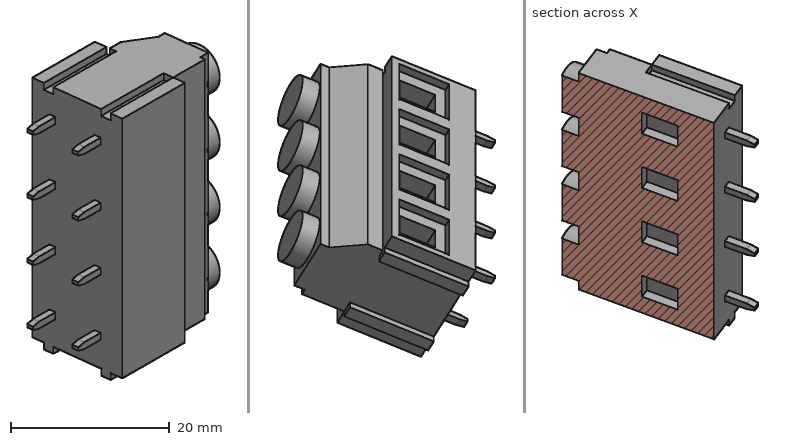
import cadquery as cq


pole_count = 4
pole_pitch = 9.55
interlock_height = 1.0
total_height = 39.08
body_height = total_height - interlock_height
base_width = 15.2
base_depth = 11.85

interlock_inner_x = 4.03
interlock_outer_x = 5.63

tower_left_x = -5.1
tower_right_x = interlock_outer_x
tower_top_y = 19.3
crown_left_x = -2.45
crown_right_x = 4.85
slope_start_y = 13.95
slope_end_y = 18.1
step_y = 17.82

screw_x = 1.25
screw_diameter = 6.9
screw_height = 2.4

recess_start_y = 3.75
recess_end_y = 10.8
recess_height = 7.43
recess_depth = 1.0
entry_start_y = 5.2
entry_end_y = 10.25
entry_height = 3.6

pin_row_x = (-4.2, 3.45)
pin_size = 1.0
pin_length = 4.22
pin_taper_length = 1.15
pin_tip_thickness = 0.5

base_left_x = -base_width / 2
first_pole_z = (body_height - (pole_count - 1) * pole_pitch) / 2
pole_heights = [first_pole_z + i * pole_pitch for i in range(pole_count)]


def box_between(x_range, y_range, z_range):
    """Box spanning the given (start, end) pair along each axis."""
    starts, ends = zip(x_range, y_range, z_range)
    lengths = [end - start for start, end in zip(starts, ends)]
    return cq.Workplane("XY").box(*lengths, centered=False).translate(starts)


def make_body():
    """Rectangular base with the sloped and stepped tower behind it."""
    base = box_between((base_left_x, base_width / 2), (0, base_depth), (0, body_height))
    tower_outline = [
        (tower_left_x, 0),
        (tower_right_x, 0),
        (tower_right_x, step_y),
        (crown_right_x, step_y),
        (crown_right_x, tower_top_y),
        (crown_left_x, tower_top_y),
        (crown_left_x, slope_end_y),
        (tower_left_x, slope_start_y),
    ]
    tower = cq.Workplane("XY").polyline(tower_outline).close().extrude(body_height)
    return base.union(tower)


def make_interlock_rails(bottom_z):
    """Pair of bars along the base, used both as tabs and as groove cutters."""
    z_range = (bottom_z, bottom_z + interlock_height)
    rail = box_between((interlock_inner_x, interlock_outer_x), (0, base_depth), z_range)
    return rail.union(rail.mirror("YZ"))


def make_wire_entry(pole_z):
    """Shallow window with a deeper wire hole that ends at the screw axis."""
    recess = box_between(
        (base_left_x, base_left_x + recess_depth),
        (recess_start_y, recess_end_y),
        (pole_z - recess_height / 2, pole_z + recess_height / 2),
    )
    entry = box_between(
        (base_left_x, screw_x),
        (entry_start_y, entry_end_y),
        (pole_z - entry_height / 2, pole_z + entry_height / 2),
    )
    return recess.union(entry)


def make_screw_head(pole_z):
    """Round screw head standing on the top of the tower."""
    axis_start = cq.Vector(screw_x, tower_top_y, pole_z)
    head = cq.Solid.makeCylinder(screw_diameter / 2, screw_height, axis_start, cq.Vector(0, 1, 0))
    return cq.Workplane(head)


def make_pin(pin_x, pole_z):
    """Square pin that thins in Z towards its tip."""
    half_size = pin_size / 2
    half_tip = pin_tip_thickness / 2
    taper_y = pin_taper_length - pin_length
    outline = [
        (0, -half_size),
        (taper_y, -half_size),
        (-pin_length, -half_tip),
        (-pin_length, half_tip),
        (taper_y, half_size),
        (0, half_size),
    ]
    pin = cq.Workplane("YZ").polyline(outline).close().extrude(half_size, both=True)
    return pin.translate((pin_x, 0, pole_z))


result = make_body()
result = result.cut(make_interlock_rails(body_height - interlock_height))
result = result.union(make_interlock_rails(-interlock_height))

for pole_z in pole_heights:
    result = result.cut(make_wire_entry(pole_z))
    result = result.union(make_screw_head(pole_z))
    for pin_x in pin_row_x:
        result = result.union(make_pin(pin_x, pole_z))